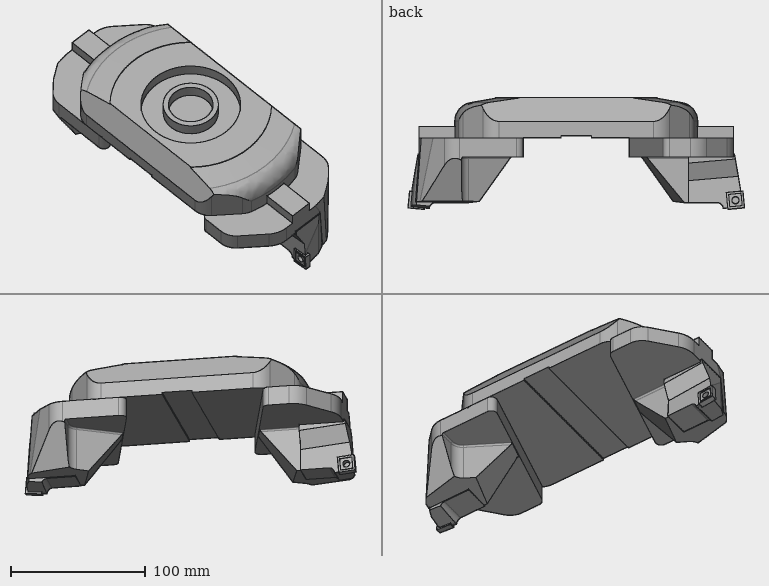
import cadquery as cq
import math


HALF_WIDTH = 52.0
LONGEST_SIDE = 250.0
TOTAL_HEIGHT = 83.2
LARGE = 250.0
TOLERANCE = 0.2

BRIDGE_HEIGHT = 30.0
BRIDGE_END_RADIUS = 90.2
BRIDGE_CORNER_ANGLE = 40.0
BRIDGE_CORNER_DISTANCE = 83.0
BRIDGE_CORNER_BLEND = 15.5
TOP_HALF_WIDTH = 42.0
SIDE_WALL_HEIGHT = 12.2
CROWN_RADIUS = 60.0
CROWN_STEP = 0.5
CROWN_SLOPE = 10.0
SHOULDER_BLEND = 14.0
RING_OUTER_DIAMETER = 74.0
BOSS_DIAMETER = 41.0
BORE_DIAMETER = 33.0
RECESS_DEPTH = 9.2
NOTCH_WIDTH = 22.5
NOTCH_HEIGHT = 1.5

PLATE_THICKNESS = 14.2
BLOCK_BOTTOM = -48.2
SLIDE_END = 116.7
SLIDE_FOOT_END = 120.0
KEY_INNER_END = 55.0
KEY_WIDTH = 17.5
KEY_HEIGHT = 8.5
END_SKEW_RUN = 27.7
SLIDE_INNER_CORNER = 37.7
INNER_CORNER_BLEND = 5.0
OPEN_CORNER_ANGLE = 40.0
OPEN_CORNER_DISTANCE = 104.0
BACK_CORNER_ANGLE = 44.0
BACK_CORNER_DISTANCE = 103.2
CORNER_BLEND = 15.7
END_BLEND = 20.5
BACK_WALL_X = 85.0
BACK_WALL_FOOT_Y = 34.5
BACK_FLOOR_ANGLE = 30.0
BACK_RELIEF_BLEND = 10.0
CEILING_BLEND = 1.2
END_FACE_POINT = (SLIDE_END, 15.0, 0)
END_FACE_NORMAL = (0.98, 0.16, 0.07)
FACET_START = (114.7, 26.0, 0)
FACET_BACK = (106.0, 39.0, 0)
FACET_FOOT = (117.7, 26.0, BLOCK_BOTTOM)
BACK_SLANT_POINT = (87.0, HALF_WIDTH, -15.7)
BACK_SLANT_NORMAL = (0.19, 0.87, -0.44)
INNER_SLANT_POINT = (48.5, 13.2, -PLATE_THICKNESS)
INNER_SLANT_NORMAL = (-0.75, -0.21, -0.62)
BOTTOM_NORMAL = (0, 0.04, -1)

CARTRIDGE_INNER_X = 83.2
CARTRIDGE_TOP = -12.0
CARTRIDGE_BACK_Y = 20.0
CARTRIDGE_FRONT_Y = -5.7
CARTRIDGE_NOSE_TOP_X = 117.5
CARTRIDGE_NOSE_TIP = (124.2, -51.0)
CARTRIDGE_HEEL = (109.0, -52.5)
CARTRIDGE_STEP_MIDDLE = (108.0, -49.7)
CARTRIDGE_STEP_TOP_X = 105.2
CHIP_FACE_TILT = 5.0
CHIP_FACE_TOP = -18.7
CHIP_RAMP_DROP = 13.0
CHIP_FACE_DROP = 38.0
CHIP_FACE_LEAN = 1.7
CLEARANCE_START = (121.7, 0, -35.7)
CLEARANCE_TOP = (118.7, 16.2, -18.7)
CLEARANCE_BOTTOM = (121.5, 13.5, -49.7)
CLEARANCE_BACK = (118.7, CARTRIDGE_BACK_Y, -51.2)
UNDERSIDE_NORMAL = (0.1, 0.09, -1)

INSERT_SIDE = 12.5
INSERT_THICKNESS = 4.5
INSERT_ROLL = 5.5
INSERT_RAKE = 4.0
INSERT_FACE_Y = -2.5
CHIPBREAKER_SIDE = 9.2
CHIPBREAKER_DEPTH = 0.5
INSERT_HOLE_DIAMETER = 5.2


def corner_flat_x(angle, distance, y):
    """X where a vertical flat, given by its normal angle and distance, meets a given |Y|."""
    a = math.radians(angle)
    return (distance - y * math.sin(a)) / math.cos(a)


def corner_flat_y(angle, distance, x):
    """|Y| where a vertical flat, given by its normal angle and distance, meets a given X."""
    a = math.radians(angle)
    return (distance - x * math.cos(a)) / math.sin(a)


def outside(point, normal):
    """Large block that fills the side of a plane its normal points to."""
    return cq.Workplane(cq.Plane(origin=point, normal=normal)).rect(2 * LARGE, 2 * LARGE).extrude(LARGE)


def outside_points(a, b, c):
    """Large block beyond the plane through three points, on the side away from the origin."""
    origin = cq.Vector(*a)
    normal = (cq.Vector(*b) - origin).cross(cq.Vector(*c) - origin)
    if normal.dot(origin) < 0:
        normal = normal * -1
    return outside(a, normal.toTuple())


def near(x, y):
    """Selector for the vertical edge that passes through (x, y)."""
    return cq.selectors.BoxSelector(
        (x - TOLERANCE, y - TOLERANCE, -LARGE), (x + TOLERANCE, y + TOLERANCE, LARGE)
    )


def half_turn(body):
    return body.rotate((0, 0, 0), (0, 0, 1), 180)


def bridge_plan():
    """Plan shape: round ends, straight sides and four blended corner flats."""
    plan = cq.Workplane("XY").circle(BRIDGE_END_RADIUS).extrude(BRIDGE_HEIGHT)
    plan = plan.intersect(
        cq.Workplane("XY").rect(2 * BRIDGE_END_RADIUS, 2 * HALF_WIDTH).extrude(BRIDGE_HEIGHT)
    )
    a = math.radians(BRIDGE_CORNER_ANGLE)
    for sx in (1, -1):
        for sy in (1, -1):
            normal = (sx * math.cos(a), sy * math.sin(a), 0)
            point = tuple(BRIDGE_CORNER_DISTANCE * n for n in normal)
            plan = plan.cut(outside(point, normal))
    return plan.edges("|Z").fillet(BRIDGE_CORNER_BLEND)


def bridge_crown():
    """Turned envelope: flat disc, small step, conical shoulder and rounded rim."""
    shoulder_z = BRIDGE_HEIGHT - CROWN_STEP
    rim_z = shoulder_z - (BRIDGE_END_RADIUS - CROWN_RADIUS) * math.tan(math.radians(CROWN_SLOPE))
    crown = (
        cq.Workplane("XZ")
        .polyline([
            (0, 0),
            (BRIDGE_END_RADIUS, 0),
            (BRIDGE_END_RADIUS, rim_z),
            (CROWN_RADIUS, shoulder_z),
            (CROWN_RADIUS, BRIDGE_HEIGHT),
            (0, BRIDGE_HEIGHT),
        ])
        .close()
        .revolve(360, (0, 0, 0), (0, 1, 0))
    )
    rim = cq.selectors.BoxSelector(
        (-LARGE, -LARGE, rim_z - TOLERANCE), (LARGE, LARGE, rim_z + TOLERANCE), boundingbox=True
    )
    return crown.edges(rim).fillet(SHOULDER_BLEND)


def bridge_section():
    """Cross-section along the bridge, with both long sides bevelled towards the top."""
    return (
        cq.Workplane("YZ")
        .polyline([
            (-HALF_WIDTH, 0),
            (HALF_WIDTH, 0),
            (HALF_WIDTH, SIDE_WALL_HEIGHT),
            (TOP_HALF_WIDTH, BRIDGE_HEIGHT),
            (-TOP_HALF_WIDTH, BRIDGE_HEIGHT),
            (-HALF_WIDTH, SIDE_WALL_HEIGHT),
        ])
        .close()
        .extrude(BRIDGE_END_RADIUS, both=True)
    )


def make_bridge():
    bridge = bridge_plan().intersect(bridge_crown()).intersect(bridge_section())
    top = cq.Workplane("XY", origin=(0, 0, BRIDGE_HEIGHT))
    bridge = bridge.cut(
        top.circle(RING_OUTER_DIAMETER / 2).circle(BOSS_DIAMETER / 2).extrude(-RECESS_DEPTH)
    )
    bridge = bridge.cut(top.circle(BORE_DIAMETER / 2).extrude(-RECESS_DEPTH))
    bridge = bridge.cut(cq.Workplane("XY").rect(NOTCH_WIDTH, 2 * HALF_WIDTH).extrude(NOTCH_HEIGHT))
    for keyway in (make_key(), half_turn(make_key())):
        bridge = bridge.cut(keyway)
    return bridge


def make_key():
    return cq.Workplane("XY").box(
        SLIDE_END - KEY_INNER_END, KEY_WIDTH, KEY_HEIGHT, centered=(False, True, False)
    ).translate((KEY_INNER_END, 0, 0))


def slide_prism(height):
    """Slide outline with blended corners, extruded down from the seat."""
    inner_back = (SLIDE_INNER_CORNER, HALF_WIDTH)
    inner_open = (SLIDE_INNER_CORNER + END_SKEW_RUN, -HALF_WIDTH)
    open_side = (corner_flat_x(OPEN_CORNER_ANGLE, OPEN_CORNER_DISTANCE, HALF_WIDTH), -HALF_WIDTH)
    open_end = (SLIDE_END, -corner_flat_y(OPEN_CORNER_ANGLE, OPEN_CORNER_DISTANCE, SLIDE_END))
    foot_corner = (
        SLIDE_FOOT_END,
        corner_flat_y(BACK_CORNER_ANGLE, BACK_CORNER_DISTANCE, SLIDE_FOOT_END),
    )
    back_side = (corner_flat_x(BACK_CORNER_ANGLE, BACK_CORNER_DISTANCE, HALF_WIDTH), HALF_WIDTH)
    prism = (
        cq.Workplane("XY")
        .polyline([
            inner_back,
            inner_open,
            open_side,
            open_end,
            (SLIDE_END, CARTRIDGE_BACK_Y),
            (SLIDE_FOOT_END, CARTRIDGE_BACK_Y),
            foot_corner,
            back_side,
        ])
        .close()
        .extrude(-height)
    )
    for corner in (inner_back, inner_open):
        prism = prism.edges(near(*corner)).fillet(INNER_CORNER_BLEND)
    for corner in (open_side, back_side):
        prism = prism.edges(near(*corner)).fillet(CORNER_BLEND)
    prism = prism.edges(near(*open_end)).fillet(END_BLEND)
    prism = prism.cut(outside(END_FACE_POINT, END_FACE_NORMAL))
    return prism.cut(outside_points(FACET_START, FACET_BACK, FACET_FOOT))


def back_relief():
    """Open pocket behind the block: a wall across X and a skewed floor, blended together."""
    reach = BACK_WALL_X - SLIDE_INNER_CORNER
    clear_y = HALF_WIDTH + 2.5
    corner = (BACK_WALL_X, BACK_WALL_FOOT_Y)
    floor_end = (
        BACK_WALL_X - reach,
        BACK_WALL_FOOT_Y - reach * math.tan(math.radians(BACK_FLOOR_ANGLE)),
    )
    relief = (
        cq.Workplane("XY")
        .polyline([(BACK_WALL_X, clear_y), corner, floor_end, (BACK_WALL_X - reach, clear_y)])
        .close()
        .extrude(-LARGE)
    )
    return relief.edges(near(*corner)).fillet(BACK_RELIEF_BLEND)


def slide_block():
    """Block that hangs under the plate and backs up the cartridge."""
    block = slide_prism(-BLOCK_BOTTOM)
    chip_side = cq.Workplane("XY").box(LARGE, LARGE, LARGE, centered=(True, False, True))
    block = block.cut(chip_side.translate((0, -LARGE, 0)))
    block = block.cut(back_relief())
    block = block.cut(outside(BACK_SLANT_POINT, BACK_SLANT_NORMAL))
    block = block.cut(outside(INNER_SLANT_POINT, INNER_SLANT_NORMAL))
    return block.cut(outside((0, 0, BLOCK_BOTTOM), BOTTOM_NORMAL))


def cartridge_slot():
    """Slot that takes the cartridge, open towards the end and the chip side."""
    return cq.Workplane("XY").box(
        LARGE, CARTRIDGE_BACK_Y - CARTRIDGE_FRONT_Y, LARGE, centered=False
    ).translate((CARTRIDGE_INNER_X, CARTRIDGE_FRONT_Y, CARTRIDGE_TOP - LARGE))


def make_slide():
    slide = slide_prism(PLATE_THICKNESS).union(slide_block()).cut(cartridge_slot())
    chip_wall = (-TOLERANCE, TOLERANCE)
    relief_wall = (INNER_SLANT_POINT[1] - TOLERANCE, BACK_WALL_FOOT_Y + BACK_RELIEF_BLEND)
    for low_y, high_y in (chip_wall, relief_wall):
        ceiling_edges = cq.selectors.BoxSelector(
            (SLIDE_INNER_CORNER, low_y, -PLATE_THICKNESS - TOLERANCE),
            (BACK_WALL_X + TOLERANCE, high_y, -PLATE_THICKNESS + TOLERANCE),
            boundingbox=True,
        )
        slide = slide.edges(ceiling_edges).fillet(CEILING_BLEND)
    return slide.union(make_key())


def make_cartridge():
    body = (
        cq.Workplane("XZ", origin=(0, CARTRIDGE_BACK_Y, 0))
        .moveTo(CARTRIDGE_INNER_X, CARTRIDGE_TOP)
        .lineTo(CARTRIDGE_NOSE_TOP_X, CARTRIDGE_TOP)
        .lineTo(*CARTRIDGE_NOSE_TIP)
        .lineTo(*CARTRIDGE_HEEL)
        .threePointArc(CARTRIDGE_STEP_MIDDLE, (CARTRIDGE_STEP_TOP_X, BLOCK_BOTTOM))
        .lineTo(CARTRIDGE_INNER_X, BLOCK_BOTTOM)
        .close()
        .extrude(CARTRIDGE_BACK_Y - CARTRIDGE_FRONT_Y)
    )
    tilt = math.radians(CHIP_FACE_TILT)
    face_plane = cq.Plane(
        origin=(CARTRIDGE_INNER_X, 0, CHIP_FACE_TOP),
        xDir=(0, 1, 0),
        normal=(math.cos(tilt), 0, math.sin(tilt)),
    )
    clear_y = 2 * CARTRIDGE_FRONT_Y
    chip_space = (
        cq.Workplane(face_plane)
        .polyline([
            (CARTRIDGE_FRONT_Y, 0),
            (0, -CHIP_RAMP_DROP),
            (-CHIP_FACE_LEAN, -CHIP_FACE_DROP),
            (clear_y, -CHIP_FACE_DROP),
            (clear_y, 0),
        ])
        .close()
        .extrude(LARGE / 2, both=True)
    )
    body = body.cut(chip_space)
    body = body.cut(outside_points(CLEARANCE_START, CLEARANCE_TOP, CLEARANCE_BOTTOM))
    body = body.cut(outside_points(CLEARANCE_BACK, CLEARANCE_TOP, CLEARANCE_BOTTOM))
    body = body.cut(outside((CARTRIDGE_HEEL[0], 0, CARTRIDGE_HEEL[1]), UNDERSIDE_NORMAL))
    return body.cut(insert_blank())


def place_insert(body):
    """Tilt a body into the insert seat, so that the corners reach the tool's end and underside."""
    rake = math.radians(INSERT_RAKE)
    roll = math.radians(INSERT_ROLL)
    half_side = INSERT_SIDE / 2
    half_height = half_side * math.cos(rake) + INSERT_THICKNESS * math.sin(rake)
    reach_x = half_side * math.cos(roll) + half_height * math.sin(roll)
    reach_z = half_side * math.sin(roll) + half_height * math.cos(roll)
    centre = (LONGEST_SIDE / 2 - reach_x, INSERT_FACE_Y, BRIDGE_HEIGHT - TOTAL_HEIGHT + reach_z)
    return (
        body.rotate((0, 0, 0), (1, 0, 0), -INSERT_RAKE)
        .rotate((0, 0, 0), (0, 1, 0), -INSERT_ROLL)
        .translate(centre)
    )


def insert_blank():
    """Square prism whose rake face passes through the insert centre."""
    blank = cq.Workplane("XZ").rect(INSERT_SIDE, INSERT_SIDE).extrude(-INSERT_THICKNESS)
    return place_insert(blank)


def make_insert():
    breaker = cq.Workplane("XZ").rect(CHIPBREAKER_SIDE, CHIPBREAKER_SIDE).extrude(-CHIPBREAKER_DEPTH)
    hole = cq.Workplane("XZ").circle(INSERT_HOLE_DIAMETER / 2).extrude(-INSERT_THICKNESS)
    insert = insert_blank()
    for cutter in (breaker, hole):
        insert = insert.cut(place_insert(cutter))
    return insert


bodies = [make_bridge().solids().val()]
for make_body in (make_slide, make_cartridge, make_insert):
    body = make_body().solids()
    bodies += [body.val(), half_turn(body).val()]

result = cq.Compound.makeCompound(bodies)